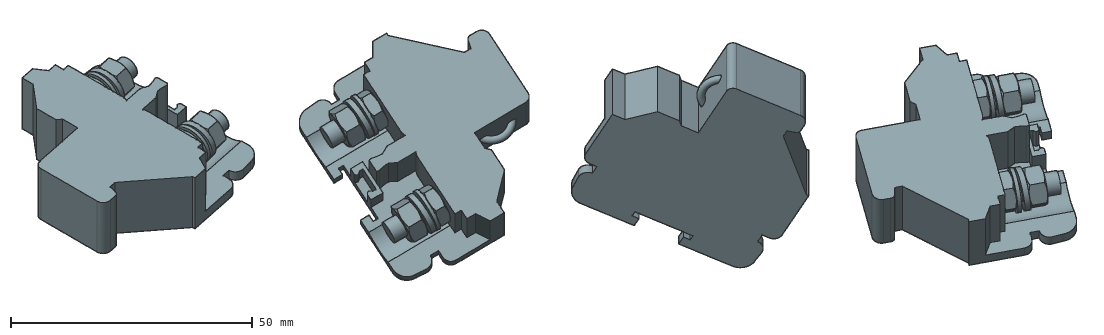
import cadquery as cq
import math

half_width = 23.05
depth = 42.0
height = 15.1
plate_thickness = 2.5

flank_y = 18.0
step_y = 14.0
step_width = 5.0
left_shoulder_y = 13.0
foot_left_x = -5.0
foot_right_x = 13.5
foot_left_radius = 1.5
foot_right_radius = 2.0
lip_radius = 1.0
undercut_x = 11.0
undercut_low_y = 4.95
undercut_high_y = 6.55
lip_side_y = 3.45
lip_top_y = 4.55

shoulder_y = 31.8
shoulder_radius = 2.0
neck_x = 19.4
ear_low_y = 33.75
ear_x = 21.5
ear_side_low_y = 35.9
ear_low_radius = 2.15
ear_top_x = 21.3
ear_side_high_y = 38.4
ear_flat_x = 17.9
ear_high_radius = 3.5
opening_x = 5.2
opening_lip_y = 39.9
groove_x = 6.8
groove_y = 38.7

housing_side_y = 21.45
bevel_x = 20.1
bevel_y = 23.15
low_step_y = 25.3
high_step_x = 17.9
wall_y = 26.85
root_radius = 2.5
root_angle = math.radians(30)

rib_half_width = 2.1
rib_waist_half = 1.2
rib_head_half = 1.55
rib_tip_half = 1.4
rib_slope_low_y = 31.0
rib_slope_high_y = 32.65
rib_head_y = 35.05
rib_end_y = 35.75
rib_neck_radius = 8.4
rib_head_radius = 1.0

holder_half_width = 4.0
holder_top = 7.5
slot_half_width = 2.6
slot_back_y = 36.55
slot_side_y = 37.4
slot_throat_half = 2.1
slot_throat_y = 38.0
slot_mouth_radius = 0.8

stud_x = 12.2
stud_z = 8.25
stud_diameter = 5.0
stud_end_y = 39.5
hex_flats = 8.0
nut_chamfer_slope = math.tan(math.radians(30))
nut_face_diameter = 7.8
inner_nut_end_y = 29.75
washer_end_y = 30.6
washer_diameter = 9.5
washer_hole = 5.3
outer_nut_start_y = 32.45
outer_nut_end_y = 36.4
spring_diameter = 9.3
spring_thickness = 1.25
spring_pitch = 1.2
spring_turns = 0.98
spring_split_angle = 33.0
channel_radius = 6.9

wire_diameter = 1.7
loop_radius = 4.3
loop_x = -2.5
loop_y = 8.35
loop_z = 7.65


def underside(sketch):
    """Continue an outline from the left flank around the foot to the right flank; slopes are 45 degrees."""
    left_slope_x = -bevel_x + flank_y - left_shoulder_y
    right_slope_x = undercut_x + flank_y - undercut_high_y
    shoulder_end_x = foot_left_x - step_width
    return (
        sketch.lineTo(-half_width, flank_y)
        .lineTo(-bevel_x, flank_y)
        .lineTo(left_slope_x, left_shoulder_y)
        .lineTo(shoulder_end_x, left_shoulder_y)
        .lineTo(shoulder_end_x + step_y - left_shoulder_y, step_y)
        .lineTo(foot_left_x, step_y)
        .lineTo(foot_left_x, foot_left_radius)
        .radiusArc((foot_left_x + foot_left_radius, 0), -foot_left_radius)
        .lineTo(foot_right_x - foot_right_radius, 0)
        .radiusArc((foot_right_x, foot_right_radius), -foot_right_radius)
        .lineTo(foot_right_x, lip_side_y)
        .radiusArc((foot_right_x - lip_radius, lip_top_y), -lip_radius)
        .lineTo(undercut_x, undercut_low_y)
        .lineTo(undercut_x, undercut_high_y)
        .lineTo(right_slope_x, flank_y)
        .lineTo(half_width, flank_y)
    )


def base_plate():
    """Thin plate with the full outline: ears, necks and the grooved opening between them."""
    start = cq.Workplane("XY").moveTo(-half_width, shoulder_y - shoulder_radius)
    return (
        underside(start)
        .lineTo(half_width, shoulder_y - shoulder_radius)
        .radiusArc((half_width - shoulder_radius, shoulder_y), -shoulder_radius)
        .lineTo(neck_x, shoulder_y)
        .lineTo(neck_x, ear_low_y)
        .radiusArc((ear_x, ear_side_low_y), -ear_low_radius)
        .lineTo(ear_top_x, ear_side_high_y)
        .radiusArc((ear_flat_x, depth), -ear_high_radius)
        .lineTo(opening_x, depth)
        .lineTo(opening_x, opening_lip_y)
        .lineTo(groove_x, opening_lip_y)
        .lineTo(groove_x, groove_y)
        .lineTo(-groove_x, groove_y)
        .lineTo(-groove_x, opening_lip_y)
        .lineTo(-opening_x, opening_lip_y)
        .lineTo(-opening_x, depth)
        .lineTo(-ear_flat_x, depth)
        .radiusArc((-ear_top_x, ear_side_high_y), -ear_high_radius)
        .lineTo(-ear_x, ear_side_low_y)
        .radiusArc((-neck_x, ear_low_y), -ear_low_radius)
        .lineTo(-neck_x, shoulder_y)
        .lineTo(-half_width + shoulder_radius, shoulder_y)
        .radiusArc((-half_width, shoulder_y - shoulder_radius), -shoulder_radius)
        .close()
        .extrude(plate_thickness)
    )


def housing():
    """Full-height block behind the studs, with rounded corners beside the rib."""
    root_start_x = rib_half_width + root_radius * math.sin(root_angle)
    root_end_y = wall_y - root_radius * (1 - math.cos(root_angle))
    start = cq.Workplane("XY").moveTo(-half_width, housing_side_y)
    return (
        underside(start)
        .lineTo(half_width, housing_side_y)
        .lineTo(bevel_x, bevel_y)
        .lineTo(bevel_x, low_step_y)
        .lineTo(high_step_x, low_step_y)
        .lineTo(high_step_x, wall_y)
        .lineTo(root_start_x, wall_y)
        .radiusArc((rib_half_width, root_end_y), -root_radius)
        .lineTo(-rib_half_width, root_end_y)
        .radiusArc((-root_start_x, wall_y), -root_radius)
        .lineTo(-high_step_x, wall_y)
        .lineTo(-high_step_x, low_step_y)
        .lineTo(-bevel_x, low_step_y)
        .lineTo(-bevel_x, bevel_y)
        .close()
        .extrude(height)
    )


def rib():
    """Upright web with a hollow neck and a rounded head, drawn from its right side round to its left."""
    return (
        cq.Workplane("XY")
        .moveTo(rib_half_width, low_step_y)
        .lineTo(rib_half_width, rib_slope_low_y)
        .lineTo(rib_waist_half, rib_slope_high_y)
        .radiusArc((rib_head_half, rib_head_y), rib_neck_radius)
        .radiusArc((rib_tip_half, rib_end_y), -rib_head_radius)
        .lineTo(-rib_tip_half, rib_end_y)
        .radiusArc((-rib_head_half, rib_head_y), -rib_head_radius)
        .radiusArc((-rib_waist_half, rib_slope_high_y), rib_neck_radius)
        .lineTo(-rib_half_width, rib_slope_low_y)
        .lineTo(-rib_half_width, low_step_y)
        .close()
        .extrude(height)
    )


def label_holder():
    """Raised block whose slot, narrowed by a hooked lip on each side, opens toward +Y."""
    block = (
        cq.Workplane("XY")
        .moveTo(-holder_half_width, rib_end_y)
        .lineTo(holder_half_width, rib_end_y)
        .lineTo(holder_half_width, groove_y)
        .lineTo(-holder_half_width, groove_y)
        .close()
        .extrude(holder_top)
    )
    slot = (
        cq.Workplane("XY")
        .workplane(offset=plate_thickness)
        .moveTo(-slot_half_width, slot_back_y)
        .lineTo(slot_half_width, slot_back_y)
        .lineTo(slot_half_width, slot_side_y)
        .lineTo(slot_throat_half, slot_throat_y)
        .radiusArc((slot_half_width, groove_y), slot_mouth_radius)
        .lineTo(-slot_half_width, groove_y)
        .radiusArc((-slot_throat_half, slot_throat_y), slot_mouth_radius)
        .lineTo(-slot_half_width, slot_side_y)
        .close()
        .extrude(height)
    )
    return block.cut(slot)


def along_y(start_y):
    """Workplane on the stud axis (at X = 0) whose normal is +Y."""
    return cq.Workplane(cq.Plane((0, start_y, stud_z), (1, 0, 0), (0, 1, 0)))


def hex_nut(start_y, end_y):
    """Hexagon with corners on +X and -X, both ends chamfered at 30 degrees."""
    thickness = end_y - start_y
    corner_radius = hex_flats / math.sqrt(3)
    face_radius = nut_face_diameter / 2
    chamfer = (corner_radius - face_radius) * nut_chamfer_slope
    envelope = (
        cq.Workplane("XY", origin=(0, start_y, stud_z))
        .polyline(
            [
                (0, 0),
                (face_radius, 0),
                (corner_radius, chamfer),
                (corner_radius, thickness - chamfer),
                (face_radius, thickness),
                (0, thickness),
            ]
        )
        .close()
        .revolve(360, (0, 0, 0), (0, 1, 0))
    )
    return along_y(start_y).polygon(6, 2 * corner_radius).extrude(thickness).intersect(envelope)


def spring_washer():
    """Split ring: one turn of a rectangular section wound along the stud axis."""
    mean_radius = (spring_diameter + washer_hole) / 4
    radial_width = (spring_diameter - washer_hole) / 2
    helix = cq.Wire.makeHelix(spring_pitch, spring_pitch * spring_turns, mean_radius)
    ring = (
        cq.Workplane("XZ")
        .center(mean_radius, 0)
        .rect(radial_width, spring_thickness)
        .sweep(cq.Workplane(obj=helix), isFrenet=True)
    )
    lift = washer_end_y + spring_thickness / 2
    return (
        ring.rotate((0, 0, 0), (0, 0, 1), 180 - spring_split_angle)
        .rotate((0, 0, 0), (1, 0, 0), -90)
        .translate((0, lift, stud_z))
    )


def terminal():
    """Plain stud along Y with inner nut, flat washer, spring washer and outer nut."""
    stud = along_y(low_step_y).circle(stud_diameter / 2).extrude(stud_end_y - low_step_y)
    washer = (
        along_y(inner_nut_end_y)
        .circle(washer_diameter / 2)
        .circle(washer_hole / 2)
        .extrude(washer_end_y - inner_nut_end_y)
    )
    return (
        stud.union(hex_nut(wall_y, inner_nut_end_y))
        .union(washer)
        .union(hex_nut(outer_nut_start_y, outer_nut_end_y))
        .union(spring_washer())
    )


def stud_channel():
    """Cylinder around a stud that hollows the plate slightly below it."""
    return along_y(wall_y).circle(channel_radius).extrude(depth - wall_y)


def wire_loop():
    """Ring lying flat at mid height; its inner part is buried in the foot."""
    center = cq.Vector(loop_x, loop_y, loop_z)
    return cq.Workplane(cq.Solid.makeTorus(loop_radius, wire_diameter / 2, center, cq.Vector(0, 0, 1)))


plate = base_plate()
for side in (-1, 1):
    plate = plate.cut(stud_channel().translate((side * stud_x, 0, 0)))

result = plate.union(housing()).union(rib()).union(label_holder()).union(wire_loop())
for side in (-1, 1):
    result = result.union(terminal().translate((side * stud_x, 0, 0)))